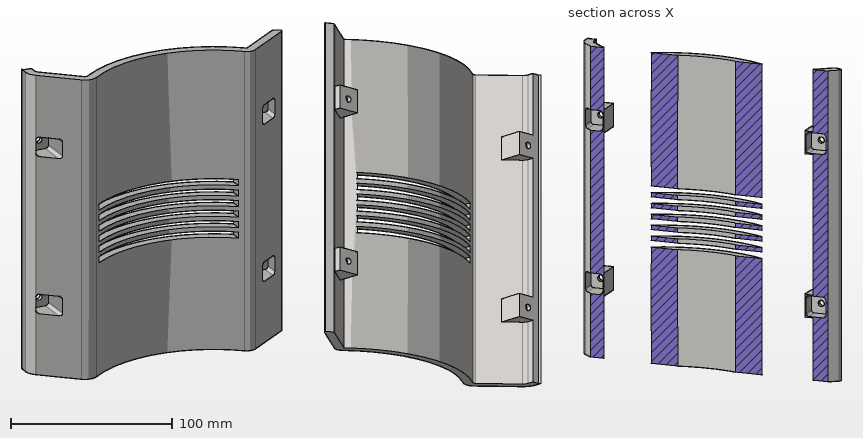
import cadquery as cq
import math

length = 200.0
thickness = 6.0

apex_x = 9.1
corner_x = 29.0
corner_y = 55.2
rise = corner_x - apex_x
front_radius = (corner_y**2 + rise**2) / (2 * rise)
back_radius = front_radius - thickness
center_x = apex_x + front_radius

upper_angle = math.radians(53.8)
lower_angle = math.radians(49.0)

upper_tip = (11.2, 87.6)
upper_heel = (9.0, 82.7)
upper_heel_end_y = 80.5
upper_tip_radius = 2.0

lip_y = -86.0
lip_end_x = 1.25
lip_chamfer = 1.25
lip_bend_radius = 10.5

upper_outer_radius = 5.9
lower_inner_radius = 2.0
lower_outer_radius = lower_inner_radius + thickness

boss_size = 15.0
boss_z = 52.5
upper_boss_face_x = 6.0
upper_boss_y = 73.0
lower_boss_face_x = lip_end_x
lower_boss_y = -76.0
screw_hole_diameter = 4.0
boss_wall = 1.0
boss_floor = 3.0
pocket_size = boss_size - 2 * boss_wall
pocket_radius = 2.0

slot_count = 6
slot_pitch = 7.0
slot_height = 4.0
slot_width = 95.5
slot_center_y = 0.6
top_slot_z = 12.0

reach = 60.0


def on_wing(side, angle, offset, y):
    """X on a wing surface at a given Y; offset is measured from its -X face."""
    return corner_x - (side * y - corner_y) / math.tan(angle) + offset / math.sin(angle)


def back_corner(side, angle):
    """Point where a wing's +X face meets the +X face of the curved wall."""
    distance = thickness + corner_y * math.cos(angle) - (center_x - corner_x) * math.sin(angle)
    along = math.sqrt(back_radius**2 - distance**2)
    x = center_x + distance * math.sin(angle) - along * math.cos(angle)
    y = distance * math.cos(angle) + along * math.sin(angle)
    return (x, side * y)


def round_edge(body, point, radius):
    """Round the edge along Z that passes through an XY point."""
    edge = cq.selectors.NearestToPointSelector((point[0], point[1], 0))
    return body.edges("|Z").edges(edge).fillet(radius)


def make_panel():
    upper_back = back_corner(1, upper_angle)
    lower_back = back_corner(-1, lower_angle)
    lip_inner_y = lip_y + thickness
    upper_back_end = (on_wing(1, upper_angle, thickness, upper_tip[1]), upper_tip[1])
    lip_back_bend = (on_wing(-1, lower_angle, thickness, lip_y), lip_y)
    lip_front_bend = (on_wing(-1, lower_angle, 0, lip_inner_y), lip_inner_y)
    panel = (
        cq.Workplane("XY", origin=(0, 0, -length / 2))
        .moveTo(lip_end_x - lip_chamfer, lip_y)
        .lineTo(*lip_back_bend)
        .lineTo(*lower_back)
        .threePointArc((center_x - back_radius, 0), upper_back)
        .lineTo(*upper_back_end)
        .lineTo(*upper_tip)
        .lineTo(*upper_heel)
        .lineTo(on_wing(1, upper_angle, 0, upper_heel_end_y), upper_heel_end_y)
        .lineTo(corner_x, corner_y)
        .threePointArc((apex_x, 0), (corner_x, -corner_y))
        .lineTo(*lip_front_bend)
        .lineTo(lip_end_x, lip_inner_y)
        .lineTo(lip_end_x, lip_y + lip_chamfer)
        .close()
        .extrude(length)
    )
    panel = round_edge(panel, upper_back, upper_outer_radius)
    panel = round_edge(panel, lower_back, lower_outer_radius)
    panel = round_edge(panel, (corner_x, -corner_y), lower_inner_radius)
    panel = round_edge(panel, upper_back_end, upper_tip_radius)
    panel = round_edge(panel, lip_back_bend, lip_bend_radius)
    return round_edge(panel, lip_front_bend, lip_bend_radius - thickness)


def block_along_x(start_x, y, z, width, height):
    """Box that starts at start_x and runs in +X."""
    section = cq.Workplane("YZ", origin=(start_x, y, z)).rect(width, height)
    return section.extrude(reach)


def add_boss(panel, outside, face_x, y, z):
    """Add a boss, then cut its pocket from the +X side and its screw hole."""
    boss = block_along_x(face_x, y, z, boss_size, boss_size).intersect(outside)
    pocket = block_along_x(face_x + boss_floor, y, z, pocket_size, pocket_size)
    pocket = pocket.edges("|X").fillet(pocket_radius)
    hole_start = cq.Workplane("YZ", origin=(face_x, y, z))
    hole = hole_start.circle(screw_hole_diameter / 2).extrude(reach)
    return panel.union(boss).cut(pocket).cut(hole)


def cut_slots(panel):
    for index in range(slot_count):
        z = top_slot_z - index * slot_pitch
        panel = panel.cut(block_along_x(0, slot_center_y, z, slot_width, slot_height))
    return panel


def wing_front_space(side, angle):
    """Region on the -X side of the middle of a wing."""
    half = thickness / 2
    near_y = side * corner_y
    far_y = side * (corner_y + reach)
    return (
        cq.Workplane("XY", origin=(0, 0, -length / 2))
        .moveTo(-reach, near_y)
        .lineTo(on_wing(side, angle, half, near_y), near_y)
        .lineTo(on_wing(side, angle, half, far_y), far_y)
        .lineTo(-reach, far_y)
        .close()
        .extrude(length)
    )


bosses = (
    (1, upper_angle, upper_boss_face_x, upper_boss_y),
    (-1, lower_angle, lower_boss_face_x, lower_boss_y),
)

result = make_panel()
for side, angle, face_x, y in bosses:
    for z in (-boss_z, boss_z):
        result = add_boss(result, wing_front_space(side, angle), face_x, y, z)
result = cut_slots(result)